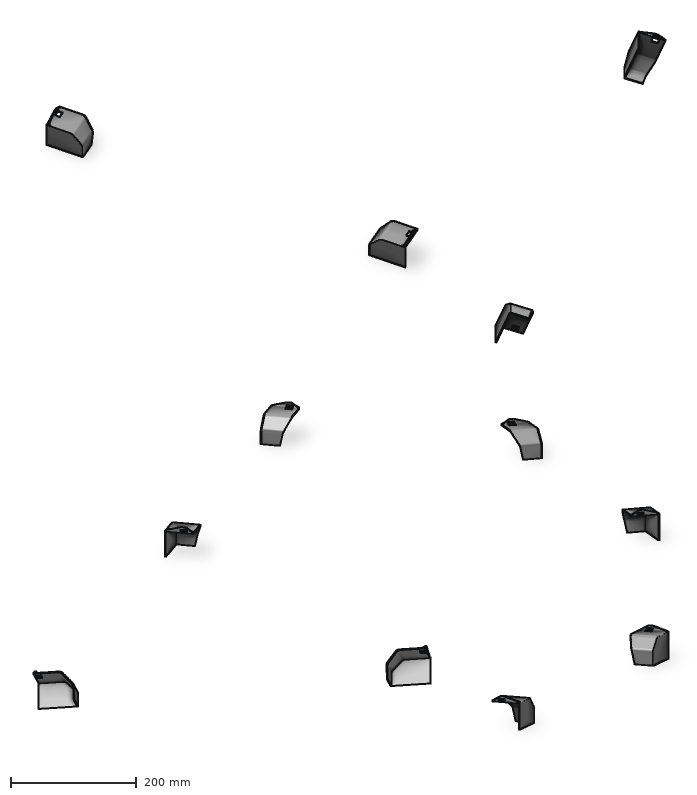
import cadquery as cq

SPAN = 636.0
SHEET = 2.0

WIDTH = 65.0
ROOF_HEIGHT = 44.5
ROOF_LENGTH = 45.0
END_HEIGHT = 24.0
BEND_RADIUS = 9.5
FRONT_EDGE_RADIUS = 2.0

ROOF_DEPTH = 47.0
KNEE_DEPTH = 37.5
FOOT_DEPTH = 32.5
KNEE_HEIGHT = 22.0

TAB_HEIGHT = 52.0
TAB_INSET = 0.5
TAB_INNER_RADIUS = 4.75
TAB_BEND_END = TAB_INSET + SHEET + TAB_INNER_RADIUS
TAB_PEAK_START = 27.0
TAB_PEAK_END = 34.0

WINDOW_START = 26.0
WINDOW_WIDTH = 11.0
WINDOW_REACH = 11.0
WINDOW_TOP = 47.5


def make_walls():
    """Front wall, roof, slope and end wall, open at the rear, bottom and outer side."""
    corners = [
        (0, 0),
        (0, ROOF_HEIGHT),
        (ROOF_LENGTH, ROOF_HEIGHT),
        (WIDTH, END_HEIGHT),
        (WIDTH, 0),
    ]
    block = cq.Workplane("XZ").polyline(corners).close().extrude(-ROOF_DEPTH)
    for corner_x, corner_z in corners[2:4]:
        corner = (corner_x, ROOF_DEPTH / 2, corner_z)
        block = block.edges(cq.selectors.NearestToPointSelector(corner)).fillet(BEND_RADIUS)

    cavity = (
        block.faces(">Y").wires().toPending().workplane()
        .offset2D(-SHEET)
        .extrude(-(ROOF_DEPTH - SHEET), combine=False)
    )
    cavity_height = ROOF_HEIGHT - SHEET
    open_side = cq.Workplane().box(
        ROOF_LENGTH / 2, ROOF_DEPTH - SHEET, cavity_height, centered=False
    ).translate((0, SHEET, 0))
    open_bottom = cq.Workplane().box(
        WIDTH - SHEET, ROOF_DEPTH - SHEET, END_HEIGHT / 2, centered=False
    ).translate((0, SHEET, 0))

    front_edges = block.faces("<Y").edges("not(<X or <Z)")
    rounded = front_edges.fillet(FRONT_EDGE_RADIUS)
    return rounded.cut(cavity).cut(open_side).cut(open_bottom)


def make_tab():
    """Strip rising from the roof: square outside corner, rounded inside, peaked upper edge."""
    roof_underside = ROOF_HEIGHT - SHEET
    bend_z = ROOF_HEIGHT + TAB_INNER_RADIUS
    strip = (
        cq.Workplane("XZ", origin=(0, SHEET, 0))
        .moveTo(TAB_BEND_END, roof_underside)
        .lineTo(TAB_INSET, roof_underside)
        .lineTo(TAB_INSET, TAB_HEIGHT)
        .lineTo(TAB_INSET + SHEET, TAB_HEIGHT)
        .lineTo(TAB_INSET + SHEET, bend_z)
        .radiusArc((TAB_BEND_END, ROOF_HEIGHT), -TAB_INNER_RADIUS)
        .close()
        .extrude(-(ROOF_DEPTH - SHEET))
    )
    peak = (
        cq.Workplane("YZ")
        .polyline([
            (0, 0),
            (0, ROOF_HEIGHT),
            (TAB_PEAK_START, TAB_HEIGHT),
            (TAB_PEAK_END, TAB_HEIGHT),
            (ROOF_DEPTH, ROOF_HEIGHT),
            (ROOF_DEPTH, 0),
        ])
        .close()
        .extrude(TAB_BEND_END)
    )
    return strip.intersect(peak)


def make_rear_trim():
    """Space behind the rear edge, which runs forward toward the foot."""
    return (
        cq.Workplane("YZ")
        .moveTo(FOOT_DEPTH, 0)
        .lineTo(KNEE_DEPTH, KNEE_HEIGHT)
        .lineTo(ROOF_DEPTH, ROOF_HEIGHT - SHEET)
        .lineTo(ROOF_DEPTH, 0)
        .close()
        .extrude(WIDTH)
    )


def make_window():
    """Openings through the tab and the roof, joined above the bar at their shared corner."""
    tab_opening = cq.Workplane().box(
        WINDOW_REACH, WINDOW_WIDTH, WINDOW_TOP - ROOF_HEIGHT, centered=False
    ).translate((0, WINDOW_START, ROOF_HEIGHT))
    roof_start = TAB_INSET + SHEET
    roof_opening = cq.Workplane().box(
        WINDOW_REACH - roof_start, WINDOW_WIDTH, WINDOW_TOP, centered=False
    ).translate((roof_start, WINDOW_START, 0))
    return tab_opening.union(roof_opening)


def make_cover():
    """One cover, with its outer edge at X = 0."""
    tab_space = cq.Workplane().box(
        TAB_BEND_END, ROOF_DEPTH - SHEET, SHEET, centered=False
    ).translate((0, SHEET, ROOF_HEIGHT - SHEET))
    walls = make_walls().cut(tab_space)
    return walls.union(make_tab()).cut(make_rear_trim()).cut(make_window())


left_cover = make_cover()
right_cover = left_cover.mirror("YZ").translate((SPAN, 0, 0))

result = cq.Compound.makeCompound([left_cover.val(), right_cover.val()])